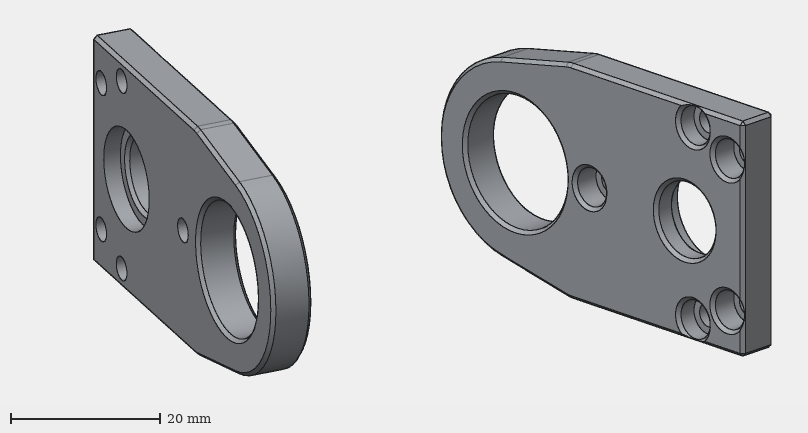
import cadquery as cq
import math

length = 57.5
thickness = 5.9
height = 33.6
edge_chamfer = 0.5

nose_radius = 14.5
nose_center_x = length - nose_radius
shoulder_x = 33.0
shoulder_radius = 5.0

large_bore_diameter = 19.0
small_bore_diameter = 10.8
small_bore_x = 11.0
recess_diameter = 14.5
recess_depth = 2.5
bore_chamfer = 0.5

screw_diameter = 3.4
head_diameter = 5.5
deep_head = 4.0
shallow_head = 3.0
edge_screw_x, edge_screw_z = 2.95, 10.8
inner_screw_x, inner_screw_z = 9.45, 13.85
center_screw_x = 29.0
screws = [(center_screw_x, 0, deep_head)]
for side in (1, -1):
    screws.append((edge_screw_x, side * edge_screw_z, deep_head))
    screws.append((inner_screw_x, side * inner_screw_z, shallow_head))


def cylinder(x, z, diameter, front, back):
    """Cylinder along Y, from Y = front to Y = back."""
    start = cq.Vector(x, front, z)
    return cq.Workplane(cq.Solid.makeCylinder(diameter / 2, back - front, start, cq.Vector(0, 1, 0)))


def make_plate():
    """Straight-sided plate whose tapered sides run tangent into the round nose."""
    half_height = height / 2
    run = nose_center_x - shoulder_x
    to_shoulder = math.atan2(half_height, -run)
    tangent_angle = to_shoulder - math.acos(nose_radius / math.hypot(run, half_height))
    tangent_x = nose_center_x + nose_radius * math.cos(tangent_angle)
    tangent_z = nose_radius * math.sin(tangent_angle)
    blank = (
        cq.Workplane("XZ")
        .moveTo(0, -half_height)
        .lineTo(shoulder_x, -half_height)
        .lineTo(tangent_x, -tangent_z)
        .threePointArc((length, 0), (tangent_x, tangent_z))
        .lineTo(shoulder_x, half_height)
        .lineTo(0, half_height)
        .close()
        .extrude(-thickness)
    )
    shoulders = cq.selectors.BoxSelector(
        (shoulder_x - 0.6, -0.6, -height), (shoulder_x + 0.6, thickness + 0.6, height)
    )
    blank = blank.edges("|Y").edges(shoulders).fillet(shoulder_radius)
    return blank.faces("<Y or >Y or <X").edges().chamfer(edge_chamfer)


def bore_cutter(x, z, diameter, front, chamfer_front=True):
    """Bore from Y = front through the back face, with a chamfered back mouth and optional front chamfer."""
    cutter = cylinder(x, z, diameter, front, thickness)
    mouths = [(thickness, -1)]
    if chamfer_front:
        mouths.append((front, 1))
    for mouth_y, direction in mouths:
        base = cq.Vector(x, mouth_y, z)
        axis = cq.Vector(0, direction, 0)
        cone = cq.Solid.makeCone(diameter / 2 + bore_chamfer, diameter / 2, bore_chamfer, base, axis)
        cutter = cutter.union(cq.Workplane(cone))
    return cutter


result = make_plate()
result = result.cut(bore_cutter(nose_center_x, 0, large_bore_diameter, 0))
result = result.cut(cylinder(small_bore_x, 0, recess_diameter, 0, recess_depth))
result = result.cut(bore_cutter(small_bore_x, 0, small_bore_diameter, recess_depth))
for hole_x, hole_z, head_depth in screws:
    result = result.cut(cylinder(hole_x, hole_z, screw_diameter, 0, thickness))
    head = bore_cutter(hole_x, hole_z, head_diameter, thickness - head_depth, chamfer_front=False)
    result = result.cut(head)